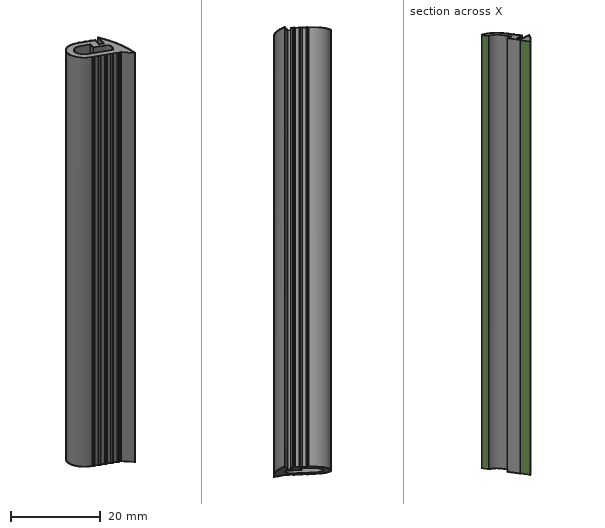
import cadquery as cq

length = 100.0
outer_radius = 4.1
cavity_radius = 2.3
total_depth = 14.0
total_width = 11.0

lip_left_x = -5.3
lip_right_x = lip_left_x + total_width
lip_top_y = total_depth - outer_radius
lip_bottom_y = 5.4
lip_crown = (-0.2, 8.3)
lip_root_y = 7.2
lip_back_mid = (4.8, 8.2)

slot_bottom_y = 4.3
slot_end_x = -1.7
stem_inner_x = -0.5
shelf_bottom_y = 2.4
cavity_top_y = 6.3
cavity_fillet = 0.9

rib_pitch = 1.5
first_rib_y = 0.5
rib_height = 0.3
rib_half_base = 0.3
rib_overlap = 0.1
left_rib_count = 3
right_rib_count = 5


def make_outline():
    """Lip and body, including the open slot on the left."""
    return (
        cq.Workplane("XY")
        .moveTo(-outer_radius, 0)
        .threePointArc((0, -outer_radius), (outer_radius, 0))
        .lineTo(outer_radius, lip_root_y)
        .threePointArc(lip_back_mid, (lip_right_x, lip_top_y))
        .threePointArc(lip_crown, (lip_left_x, lip_bottom_y))
        .lineTo(slot_end_x, lip_bottom_y)
        .lineTo(slot_end_x, slot_bottom_y)
        .lineTo(-outer_radius, slot_bottom_y)
        .close()
        .extrude(length)
    )


def make_cavity():
    """Round-bottom cavity, narrowed above the shelf and rounded at the top."""
    cavity = (
        cq.Workplane("XY")
        .moveTo(-cavity_radius, 0)
        .threePointArc((0, -cavity_radius), (cavity_radius, 0))
        .lineTo(cavity_radius, cavity_top_y)
        .lineTo(stem_inner_x, cavity_top_y)
        .lineTo(stem_inner_x, shelf_bottom_y)
        .lineTo(-cavity_radius, shelf_bottom_y)
        .close()
        .extrude(length)
    )
    return cavity.edges("|Z and >Y").fillet(cavity_fillet)


def make_rib(side, rib_y):
    """Triangular rib on the left (side = -1) or right (side = 1) flat."""
    base_x = side * (outer_radius - rib_overlap)
    flat_x = side * outer_radius
    tip_x = side * (outer_radius + rib_height)
    return (
        cq.Workplane("XY")
        .polyline([
            (base_x, rib_y - rib_half_base),
            (flat_x, rib_y - rib_half_base),
            (tip_x, rib_y),
            (flat_x, rib_y + rib_half_base),
            (base_x, rib_y + rib_half_base),
        ])
        .close()
        .extrude(length)
    )


result = make_outline().cut(make_cavity())
for side, rib_count in ((-1, left_rib_count), (1, right_rib_count)):
    for index in range(rib_count):
        result = result.union(make_rib(side, first_rib_y + index * rib_pitch))